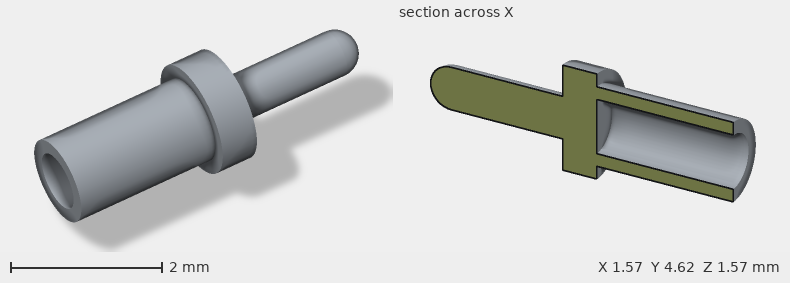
import cadquery as cq

overall_length = 4.62

barrel_diameter = 1.19
barrel_length = 2.08

flange_diameter = 1.57
flange_thickness = 0.53

pin_diameter = 0.64
pin_radius = pin_diameter / 2
pin_length = overall_length - barrel_length - flange_thickness

bore_diameter = 0.80
bore_depth = barrel_length


def cylinder_along_y(diameter, start_y, length):
    """Solid cylinder on the Y axis, growing towards +Y from start_y."""
    return cq.Workplane("XZ", origin=(0, start_y, 0)).circle(diameter / 2).extrude(-length)


def make_rounded_pin(start_y):
    """Contact pin with a hemispherical tip at its +Y end."""
    tip_center_y = start_y + pin_length - pin_radius
    shank = cylinder_along_y(pin_diameter, start_y, pin_length - pin_radius)
    tip_profile = (
        cq.Workplane("XY", origin=(0, tip_center_y, 0))
        .moveTo(0, 0)
        .lineTo(pin_radius, 0)
        .radiusArc((0, pin_radius), -pin_radius)
        .close()
    )
    tip = tip_profile.revolve(360, (0, 0, 0), (0, 1, 0))
    return shank.union(tip)


barrel = cylinder_along_y(barrel_diameter, 0, barrel_length)
flange = cylinder_along_y(flange_diameter, barrel_length, flange_thickness)
pin = make_rounded_pin(barrel_length + flange_thickness)
bore = cylinder_along_y(bore_diameter, 0, bore_depth)

result = barrel.union(flange).union(pin).cut(bore)